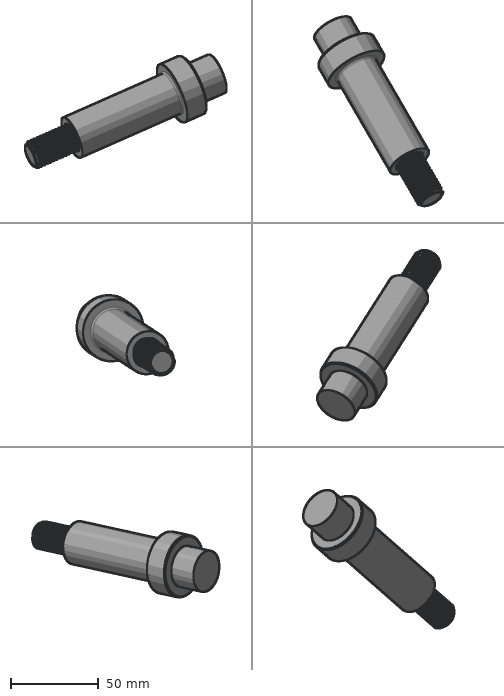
import cadquery as cq
import math


FLANGE_DIAMETER = 36.0
FLANGE_LENGTH = 13.0
FLANGE_CHAMFER = 0.6
BARREL_DIAMETER = 25.0
SLEEVE_LENGTH = 78.0
NECK_FILLET = 1.0
BORE_DIAMETER = 17.2

HEAD_DIAMETER = 24.0
HEAD_LENGTH = 16.0
TOTAL_LENGTH = 121.0
SHANK_LENGTH = TOTAL_LENGTH - HEAD_LENGTH
THREAD_DIAMETER = 16.2
CORE_DIAMETER = 14.0
TIP_CHAMFER = 0.5

TURNS = 14
THREAD_LENGTH = 28.1
PITCH = THREAD_LENGTH / TURNS
FLANK_ANGLE = 30.0
CREST_WIDTH = 0.2
ROOT_OVERLAP = 0.1
TIP_GAP = 1.2


def cylinder(diameter, start, length):
    """A round bar on the Y axis, running from Y = start toward -Y."""
    return cq.Workplane("XZ", origin=(0, start, 0)).circle(diameter / 2).extrude(length)


def make_sleeve():
    """A flange and a long barrel, blended at the neck, with a clearance bore."""
    flange = cylinder(FLANGE_DIAMETER, 0, FLANGE_LENGTH).faces(">Y").chamfer(FLANGE_CHAMFER)
    sleeve = flange.union(cylinder(BARREL_DIAMETER, 0, SLEEVE_LENGTH))
    neck_edge = cq.selectors.NearestToPointSelector((0, -FLANGE_LENGTH, 0))
    sleeve = sleeve.edges("%CIRCLE").edges(neck_edge).fillet(NECK_FILLET)
    return sleeve.cut(cylinder(BORE_DIAMETER, 0, SLEEVE_LENGTH))


def make_thread():
    """A right-handed helical ridge around the core, its root sunk slightly into the core."""
    crest_radius = THREAD_DIAMETER / 2
    root_radius = CORE_DIAMETER / 2 - ROOT_OVERLAP
    crest_half = CREST_WIDTH / 2
    root_half = crest_half + (crest_radius - root_radius) * math.tan(math.radians(FLANK_ANGLE))
    helix = cq.Wire.makeHelix(PITCH, THREAD_LENGTH, root_radius)
    ridge = (
        cq.Workplane("XZ")
        .moveTo(root_radius, -root_half)
        .lineTo(crest_radius, -crest_half)
        .lineTo(crest_radius, crest_half)
        .lineTo(root_radius, root_half)
        .close()
        .sweep(cq.Workplane(helix), isFrenet=True)
    )
    return ridge.rotate((0, 0, 0), (1, 0, 0), -90).translate((0, TIP_GAP - SHANK_LENGTH, 0))


def make_screw():
    """A round head and a threaded core with a chamfered tip."""
    head = cylinder(HEAD_DIAMETER, HEAD_LENGTH, HEAD_LENGTH)
    core = cylinder(CORE_DIAMETER, 0, SHANK_LENGTH).faces("<Y").chamfer(TIP_CHAMFER)
    return head.union(core).union(make_thread())


sleeve = make_sleeve()
screw = make_screw()
result = cq.Compound.makeCompound([sleeve.val(), screw.val()])